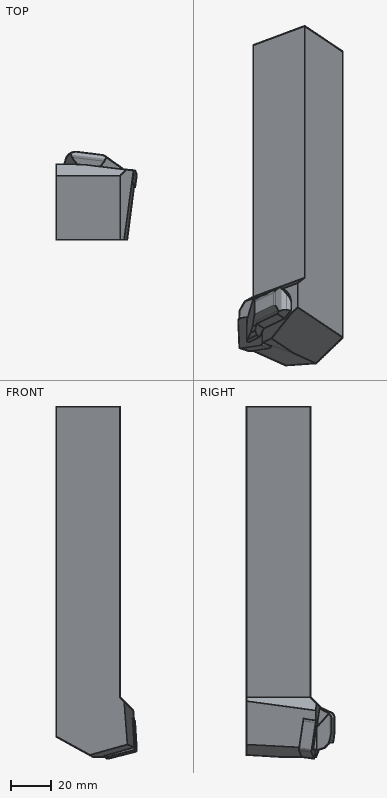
import cadquery as cq
import math

total_length = 175.2
shank_width = 31.9
shank_bottom = 17.5

head_width = 42.0
head_back = 37.7
head_bottom = 0.9
shoulder_height = 30.7
bevel_height = 11.0
bevel_slope = 0.55

right_face = ((33.8, 0, 29.0), (1, -0.125, 0.075))
lower_face = ((17.5, 0, 2.1), (0.28, -0.09, -1))
clamp_seat_face = ((34.7, 34.9, 0), (0.12, 1, 0))

insert_tip = (40.3, 32.2, 3.7)
rake_normal = (0.13, 1, -0.14)
insert_edge = 16.1
insert_thickness = 6.3
insert_corner_angle = 100.0
insert_corner_radius = 1.2
lead_angle = 4.5

clamp_root = 29.8
clamp_top = 43.8
clamp_left = 4.0
clamp_right = 33.6
clamp_low = 4.5
heel_end = 10.5
heel_break = 40.5
clamp_tilt = 7.0
clamp_high = 25.2

trim_size = 175.2


def trim(body, point, normal):
    """Remove everything on the outward side of a plane."""
    block = cq.Workplane(cq.Plane(point, normal=normal)).rect(trim_size, trim_size).extrude(trim_size)
    return body.cut(block)


def make_shank():
    shank = cq.Workplane("XY").box(shank_width, shank_width, total_length - shank_bottom, centered=False)
    return shank.translate((0, 0, shank_bottom))


def make_head():
    head = cq.Workplane("XY").box(head_width, head_back, shoulder_height + shank_width, centered=False)
    faces = [
        right_face,
        lower_face,
        clamp_seat_face,
        (insert_tip, rake_normal),
        ((0, 0, head_bottom), (0, 0, -1)),
        ((0, 0, bevel_height), (-bevel_slope, 0, -1)),
        ((shank_width, 0, shoulder_height), (1, 0, 1)),
        ((0, shank_width, shoulder_height), (0, 1, 1)),
    ]
    for point, normal in faces:
        head = trim(head, point, normal)
    return head


def make_clamp():
    side = (
        cq.Workplane("XY")
        .moveTo(clamp_left, clamp_root)
        .lineTo(clamp_left, head_back)
        .lineTo(4.9, heel_break)
        .threePointArc((6.7, 42.7), (heel_end, clamp_top))
        .lineTo(22.6, 42.5)
        .lineTo(24.5, 41.5)
        .lineTo(clamp_right, 35.0)
        .lineTo(clamp_right, clamp_root)
        .close()
        .extrude(shoulder_height)
    )
    end = (
        cq.Workplane("YZ")
        .moveTo(clamp_root, clamp_low)
        .lineTo(clamp_root, clamp_high)
        .lineTo(head_back, clamp_high)
        .lineTo(40.8, 23.5)
        .threePointArc((42.9, 22.2), (clamp_top, 20.3))
        .lineTo(clamp_top, 13.1)
        .lineTo(43.0, 9.5)
        .lineTo(42.5, 7.5)
        .lineTo(41.0, 5.6)
        .lineTo(38.5, clamp_low)
        .close()
        .extrude(head_width, both=True)
        .rotate((heel_end, clamp_top, 0), (heel_end, clamp_top, 1), -clamp_tilt)
    )
    plan = (
        cq.Workplane("XZ")
        .moveTo(clamp_left, 10.5)
        .lineTo(clamp_left, 14.0)
        .threePointArc((5.8, 21.0), (heel_end, clamp_high))
        .lineTo(21.9, clamp_high)
        .lineTo(clamp_right, 15.8)
        .lineTo(clamp_right, clamp_low)
        .lineTo(26.3, clamp_low)
        .lineTo(22.8, 7.9)
        .lineTo(8.8, 7.9)
        .close()
        .extrude(-clamp_top)
    )
    return side.intersect(end).intersect(plan)


def edge_point(angle):
    """End of the cutting edge that leaves the tip at this angle from local x."""
    radians = math.radians(angle)
    return (insert_edge * math.cos(radians), insert_edge * math.sin(radians))


def make_insert():
    plane = cq.Plane(insert_tip, xDir=(-rake_normal[1], rake_normal[0], 0), normal=rake_normal)
    side_end = edge_point(90 - lead_angle)
    lower_end = edge_point(90 - lead_angle - insert_corner_angle)
    far_corner = (side_end[0] + lower_end[0], side_end[1] + lower_end[1])
    plate = cq.Workplane(plane).polyline([(0, 0), side_end, far_corner, lower_end]).close()
    corners = cq.selectors.ParallelDirSelector(cq.Vector(rake_normal))
    return plate.extrude(-insert_thickness).edges(corners).fillet(insert_corner_radius)


insert = make_insert()
holder = make_shank().union(make_head()).union(make_clamp()).cut(insert)
result = cq.Compound.makeCompound([holder.solids().val(), insert.solids().val()])